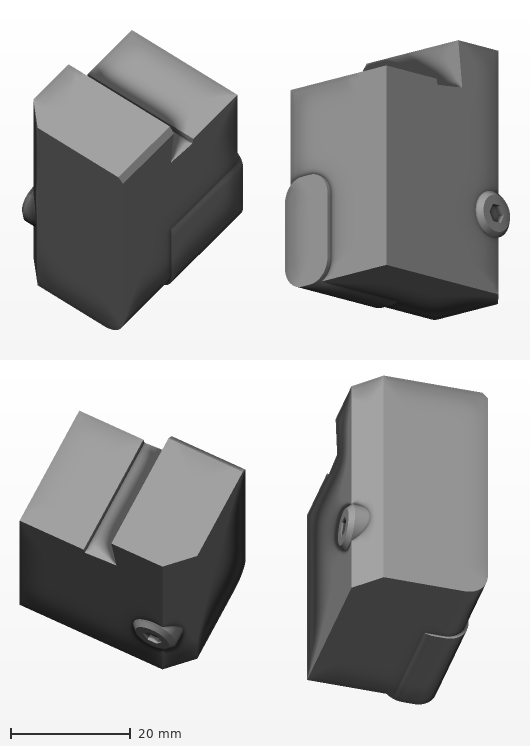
import cadquery as cq
import math

block_width = 22.5
block_depth = 31.0
block_height = 42.2
front_chamfer = 4.35
top_chamfer = 1.0
corner_radius = 4.0

jaw_depth = 13.9
groove_root_y = 12.95
groove_root_z = 34.15
groove_lip_y = 18.85
groove_floor_lip_z = 33.53
step_y = 19.05
step_height = 34.55

head_diameter = 8.0
head_face_diameter = 6.35
head_projection = 1.02
head_bevel_length = 0.9
head_embedment = 3.4
head_y = 5.75
head_z = 13.6
socket_flats = 3.02
socket_depth = 2.0

pad_side_projection = 0.4
pad_back_projection = 1.0
pad_width = 10.0
pad_height = 19.05
pad_front_y = 12.95
pad_radius = 4.0


def make_pad():
    """Rounded bar along Y, standing proud at the right, bottom and back."""
    pad_length = block_depth + pad_back_projection - pad_front_y
    pad_left = block_width + pad_side_projection - pad_width
    return (
        cq.Workplane("XY")
        .box(pad_width, pad_length, pad_height, centered=False)
        .edges("|Y")
        .fillet(pad_radius)
        .translate((pad_left, pad_front_y, -pad_side_projection))
    )


def make_block_blank():
    """Side profile with the stepped, grooved top, extruded across X."""
    blank = (
        cq.Workplane("YZ")
        .moveTo(0, 0)
        .lineTo(0, block_height)
        .lineTo(jaw_depth, block_height)
        .lineTo(groove_root_y, groove_root_z)
        .lineTo(groove_lip_y, groove_floor_lip_z)
        .lineTo(step_y, step_height)
        .lineTo(block_depth, step_height)
        .lineTo(block_depth, 0)
        .close()
        .extrude(block_width)
    )
    blank = blank.edges("|Z and <X and <Y").chamfer(front_chamfer)
    blank = blank.edges("|Y and >Z and >X").chamfer(top_chamfer)
    return blank.edges("|Y and <Z and >X").fillet(corner_radius)


def make_head():
    """Bevelled round head along X with a hexagonal socket in its outer face."""
    head_radius = head_diameter / 2
    head_face_radius = head_face_diameter / 2
    bevel_end_x = head_bevel_length - head_projection
    head = (
        cq.Workplane("XY")
        .moveTo(-head_projection, 0)
        .lineTo(-head_projection, head_face_radius)
        .lineTo(bevel_end_x, head_radius)
        .lineTo(head_embedment, head_radius)
        .lineTo(head_embedment, 0)
        .close()
        .revolve(360, (0, 0, 0), (1, 0, 0))
    )
    socket_corners = socket_flats / math.cos(math.radians(30))
    socket = (
        cq.Workplane("YZ", origin=(-head_projection, 0, 0))
        .polygon(6, socket_corners)
        .extrude(socket_depth)
    )
    return head.cut(socket).translate((0, head_y, head_z))


pad = make_pad()
block = make_block_blank().union(make_head()).cut(pad)

result = cq.Compound.makeCompound([block.solids().val(), pad.solids().val()])